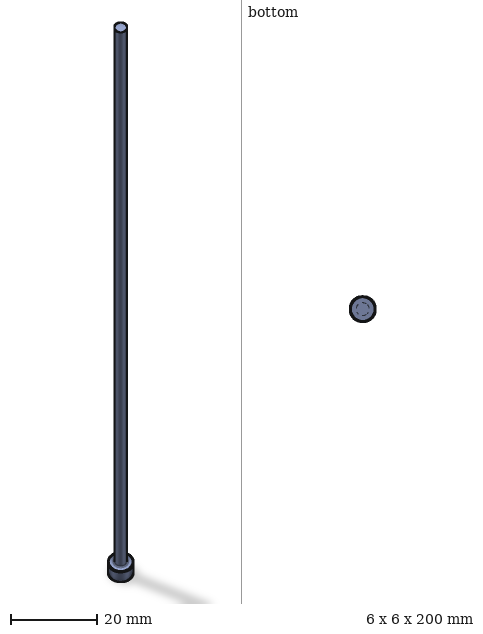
import cadquery as cq

total_length = 200.0
shaft_diameter = 3.0
head_diameter = 6.0
head_height = 4.0
head_chamfer = 0.2
neck_fillet_radius = 0.3

shaft_radius = shaft_diameter / 2
head_radius = head_diameter / 2
chamfered_radius = head_radius - head_chamfer


def pin_profile():
    """Half section of the pin, X = radius and Y = height, closed on the axis."""
    return (
        cq.Workplane("XZ")
        .lineTo(chamfered_radius, 0)
        .lineTo(head_radius, head_chamfer)
        .lineTo(head_radius, head_height - head_chamfer)
        .lineTo(chamfered_radius, head_height)
        .lineTo(shaft_radius + neck_fillet_radius, head_height)
        .radiusArc((shaft_radius, head_height + neck_fillet_radius), neck_fillet_radius)
        .lineTo(shaft_radius, total_length)
        .lineTo(0, total_length)
        .close()
    )


result = pin_profile().revolve(360, (0, 0, 0), (0, 1, 0))